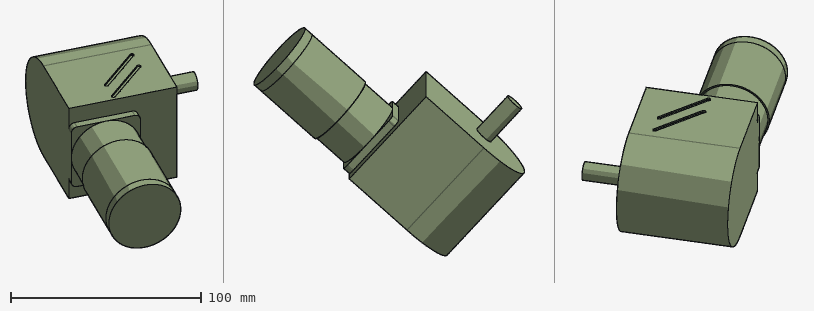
import cadquery as cq
import math

housing_height = 58.0
housing_radius = housing_height / 2
housing_length = 70.0
housing_depth = 60.0
housing_end_x = housing_length - housing_radius

flange_size = 38.4
flange_length = 4.1
flange_corner_radius = 3.2
motor_axis_y = flange_size / 2
flange_end_x = housing_end_x + flange_length

neck_diameter = flange_size
neck_length = 19.9
motor_diameter = 40.0
cap_length = 5.0
overall_length = 137.0
motor_start_x = flange_end_x + neck_length
cap_end_x = overall_length - housing_radius
cap_start_x = cap_end_x - cap_length

shaft_diameter = 10.0
shaft_length = 24.1

groove_count = 2
groove_spacing = 11.0
groove_width = 2.0
groove_depth = 1.0
groove_run = 21.5
groove_start_x = 5.6
groove_start_y = housing_depth - 12.7
groove_angle = -45


def x_cylinder(diameter, start_x, end_x):
    """Cylinder on the motor axis between two X positions."""
    return (
        cq.Workplane("YZ", origin=(start_x, motor_axis_y, 0))
        .circle(diameter / 2)
        .extrude(end_x - start_x)
    )


def make_housing_block():
    return (
        cq.Workplane("XZ")
        .moveTo(0, housing_radius)
        .lineTo(housing_end_x, housing_radius)
        .lineTo(housing_end_x, -housing_radius)
        .lineTo(0, -housing_radius)
        .threePointArc((-housing_radius, 0), (0, housing_radius))
        .close()
        .extrude(-housing_depth)
    )


def make_flange():
    return (
        cq.Workplane("YZ", origin=(housing_end_x, motor_axis_y, 0))
        .rect(flange_size, flange_size)
        .extrude(flange_length)
        .edges("|X")
        .fillet(flange_corner_radius)
    )


def make_shaft():
    return (
        cq.Workplane("XZ", origin=(0, housing_depth, 0))
        .circle(shaft_diameter / 2)
        .extrude(-shaft_length)
    )


def make_groove(index):
    center_x = groove_start_x + groove_run / 2 + index * groove_spacing
    center_y = groove_start_y - groove_run / 2
    slot_length = groove_run * math.sqrt(2) + groove_width
    return (
        cq.Workplane("XY", origin=(center_x, center_y, housing_radius))
        .slot2D(slot_length, groove_width, groove_angle)
        .extrude(-groove_depth)
    )


def make_gearmotor():
    """Housing, flange, shaft and motor as one solid."""
    body = (
        make_housing_block()
        .union(make_flange())
        .union(make_shaft())
        .union(x_cylinder(neck_diameter, flange_end_x, motor_start_x))
        .union(x_cylinder(motor_diameter, motor_start_x, cap_start_x))
    )
    for index in range(groove_count):
        body = body.cut(make_groove(index))
    return body


def make_end_cap():
    """Disc that closes the +X end of the motor, flush with its side."""
    return x_cylinder(motor_diameter, cap_start_x, cap_end_x)


gearmotor = make_gearmotor()
end_cap = make_end_cap()
result = cq.Compound.makeCompound([gearmotor.solids().val(), end_cap.val()])